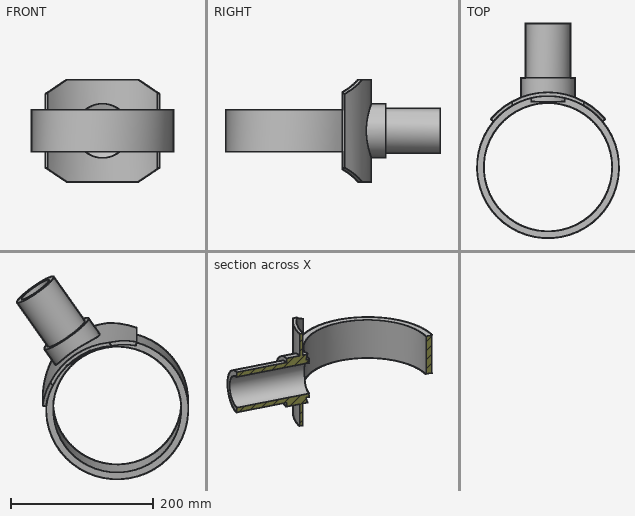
import cadquery as cq
import math

ring_radius = 100.0
ring_inner_radius = 90.0
ring_height = 59.5

saddle_thickness = 5.0
saddle_height = 144.0
saddle_half_angle = 50
saddle_flat_half_width = 50.0
saddle_side_height = 103.3
saddle_outer_radius = ring_radius + saddle_thickness

overall_length = 302
pipe_radius = 31.7
bore_radius = 23.5
collar_radius = 38.0
collar_inner_y = 92.0
collar_outer_y = 125.3
bevel_angle = 17
pipe_end_y = overall_length - ring_radius


def cylinder_along_y(radius, start_y, end_y):
    plane = cq.Plane(origin=(0, start_y, 0), xDir=(1, 0, 0), normal=(0, 1, 0))
    return cq.Workplane(plane).circle(radius).extrude(end_y - start_y)


def make_saddle():
    """Arc-shaped plate with radial ends and its four corners cut off along Y."""
    half_angle = math.radians(saddle_half_angle)
    end_x = math.sin(half_angle)
    end_y = math.cos(half_angle)
    inner, outer = ring_radius, saddle_outer_radius
    plate = (
        cq.Workplane("XY")
        .moveTo(-outer * end_x, outer * end_y)
        .threePointArc((0, outer), (outer * end_x, outer * end_y))
        .lineTo(inner * end_x, inner * end_y)
        .threePointArc((0, inner), (-inner * end_x, inner * end_y))
        .close()
        .extrude(saddle_height / 2, both=True)
    )
    side_x = outer * end_x
    side_z = saddle_side_height / 2
    top_z = saddle_height / 2
    octagon = (
        cq.Workplane("XZ")
        .polyline([
            (-saddle_flat_half_width, top_z),
            (saddle_flat_half_width, top_z),
            (side_x, side_z),
            (side_x, -side_z),
            (saddle_flat_half_width, -top_z),
            (-saddle_flat_half_width, -top_z),
            (-side_x, -side_z),
            (-side_x, side_z),
        ])
        .close()
        .extrude(-saddle_outer_radius)
    )
    return plate.intersect(octagon)


def make_bevel():
    """Cone that hollows the inner end of the collar from its rim down to the bore."""
    depth = (collar_radius - bore_radius) * math.tan(math.radians(bevel_angle))
    return (
        cq.Workplane("XY")
        .moveTo(0, collar_inner_y)
        .lineTo(collar_radius, collar_inner_y)
        .lineTo(bore_radius, collar_inner_y + depth)
        .lineTo(0, collar_inner_y + depth)
        .close()
        .revolve(360, (0, 0, 0), (0, 1, 0))
    )


ring = (
    cq.Workplane("XY")
    .circle(ring_radius)
    .circle(ring_inner_radius)
    .extrude(ring_height / 2, both=True)
)
collar = cylinder_along_y(collar_radius, collar_inner_y, collar_outer_y)
pipe = cylinder_along_y(pipe_radius, collar_inner_y, pipe_end_y)

bore = cylinder_along_y(bore_radius, 0, pipe_end_y)

branch = collar.union(pipe).cut(make_bevel())
result = ring.union(make_saddle()).union(branch).cut(bore)